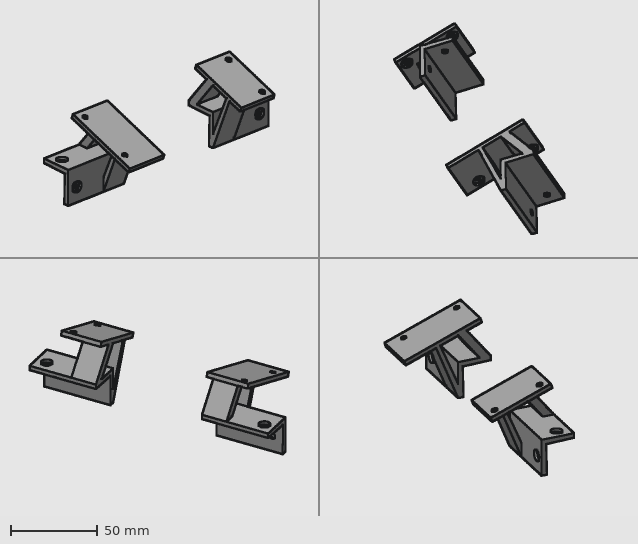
import cadquery as cq
import math

overall_length = 158.0
outer_y = overall_length / 2

bracket_length = 44.0
inner_y = outer_y - bracket_length
ledge_width = 20.9
wall_height = 23.2
thickness = 3.0
thick_end = 3.5

plate_angle = 20.0
plate_top_x = 6.6
plate_top_z = 48.7
far_plate_length = 41.1
far_plate_width = 26.2
near_plate_length = 52.0
near_plate_width = 27.2

strut_width = 16.3
front_strut_angle = 51.5
front_strut_base = 7.1
rear_strut_foot = 9.2
rear_strut_top_inset = 28.5
rear_strut_top_width = 2.8

screw_diameter = 3.5
near_plate_hole_diameter = 3.0
counterbore_diameter = 7.0
counterbore_depth = 2.0
mount_hole_end_distance = 7.0
ledge_hole_x = 8.0
wall_hole_z = 10.1
plate_hole_inset = 5.2
near_plate_end_inset = 10.6

plate_cos = math.cos(math.radians(plate_angle))
plate_sin = math.sin(math.radians(plate_angle))


def plate_point(along, depth):
    """XZ point at a distance down the slope and a depth below the plate's upper face."""
    x = plate_top_x + along * plate_cos - depth * plate_sin
    z = plate_top_z - along * plate_sin - depth * plate_cos
    return x, z


def extrude_profile(points, width):
    """Extrude an XZ outline outward (+Y) from the bracket's inner end."""
    return cq.Workplane("XZ", origin=(0, inner_y, 0)).polyline(points).close().extrude(-width)


def make_angle_section():
    inner_corner = (ledge_width - thickness, wall_height - thick_end)
    return extrude_profile(
        [
            (0, wall_height),
            (ledge_width, wall_height),
            (ledge_width, 0),
            (ledge_width - thick_end, 0),
            inner_corner,
            (0, wall_height - thickness),
        ],
        bracket_length,
    )


def make_plate(length, width):
    outline = [
        plate_point(0, 0),
        plate_point(length, 0),
        plate_point(length, thickness),
        plate_point(0, thickness),
    ]
    return extrude_profile(outline, width)


def front_strut_top(base_x):
    """Point where the strut face rising from base_x meets the plate's underside."""
    start_x, start_z = plate_point(0, thickness)
    strut_slope = math.tan(math.radians(front_strut_angle))
    plate_slope = plate_sin / plate_cos
    rise_at_base = start_z + plate_slope * (start_x - base_x) - wall_height
    run = rise_at_base / (strut_slope + plate_slope)
    return base_x + run, wall_height + run * strut_slope


def make_front_strut():
    outline = [
        (0, wall_height),
        (front_strut_base, wall_height),
        front_strut_top(front_strut_base),
        front_strut_top(0),
    ]
    return extrude_profile(outline, strut_width)


def make_rear_strut():
    outline = [
        (ledge_width, 0),
        plate_point(rear_strut_top_inset + rear_strut_top_width, thickness),
        plate_point(rear_strut_top_inset, thickness),
        (ledge_width, rear_strut_foot),
    ]
    return extrude_profile(outline, strut_width)


def make_hole(start, direction, diameter, depth):
    return cq.Workplane(cq.Solid.makeCylinder(diameter / 2, depth, cq.Vector(*start), cq.Vector(*direction)))


def cut_mount_holes(body):
    hole_y = outer_y - mount_hole_end_distance
    ledge_start = (ledge_hole_x, hole_y, wall_height)
    wall_start = (ledge_width, hole_y, wall_hole_z)
    body = body.cut(make_hole(ledge_start, (0, 0, -1), screw_diameter, thick_end))
    body = body.cut(make_hole(ledge_start, (0, 0, -1), counterbore_diameter, counterbore_depth))
    body = body.cut(make_hole(wall_start, (-1, 0, 0), screw_diameter, thick_end))
    return body.cut(make_hole(wall_start, (-1, 0, 0), counterbore_diameter, counterbore_depth))


def cut_plate_holes(body, positions, width, diameter):
    """Drill square to the plate, with the counterbores in its underside."""
    hole_y = inner_y + width - plate_hole_inset
    upward = (plate_sin, 0, plate_cos)
    for along in positions:
        x, z = plate_point(along, thickness)
        start = (x, hole_y, z)
        body = body.cut(make_hole(start, upward, diameter, thickness))
        body = body.cut(make_hole(start, upward, counterbore_diameter, counterbore_depth))
    return body


def make_bracket(plate_length, plate_width, end_inset, plate_hole_diameter):
    """Bracket on the +Y side, with its inner end flush across all parts."""
    body = make_angle_section()
    body = body.union(make_plate(plate_length, plate_width))
    body = body.union(make_front_strut())
    body = body.union(make_rear_strut())
    body = cut_mount_holes(body)
    hole_positions = [plate_hole_inset, plate_length - end_inset]
    return cut_plate_holes(body, hole_positions, plate_width, plate_hole_diameter)


far_bracket = make_bracket(far_plate_length, far_plate_width, plate_hole_inset, screw_diameter)
near_bracket = make_bracket(
    near_plate_length, near_plate_width, near_plate_end_inset, near_plate_hole_diameter
).mirror("XZ")

result = cq.Compound.makeCompound([far_bracket.val(), near_bracket.val()])